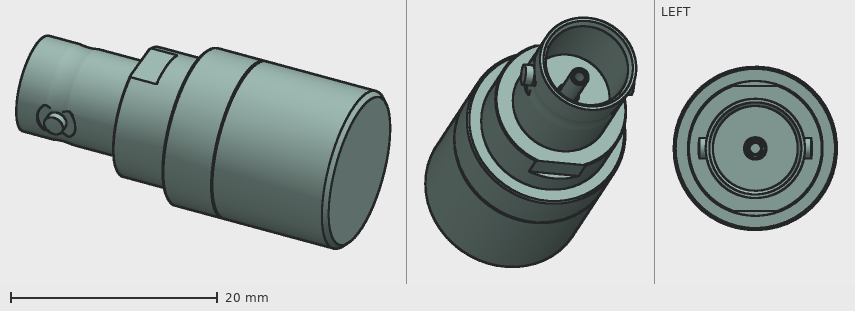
import cadquery as cq

total_length = 34.15

sleeve_radius = 4.8
mouth_radius = 4.45
bore_radius = 4.1
mouth_chamfer_length = 0.5
bore_depth = 8.0

pin_x = 4.22
ring_groove_width = 2.16
ring_groove_depth = 0.1
pin_flat_radius = 2.03
pin_flat_height = 4.55
pin_radius = 1.0
pin_tip_height = 5.5
pin_dome_rise = 0.1

collar_start = 10.95
collar_radius = 6.52
collar_chamfer = 0.1
wrench_flat_height = 6.03
wrench_flat_length = 2.85

body_start = 16.72
body_radius = 7.9
front_chamfer = 0.2
rear_chamfer = 0.5
joint_x = 22.0
joint_width = 0.1
joint_depth = 0.1

contact_start = 3.4
contact_radius = 0.88
contact_hole_radius = 0.55
contact_hole_depth = 4.0
contact_countersink = 0.11
clearance_radius = 1.08
clearance_depth = 0.5


def revolve_x(profile):
    """Turn a closed XY profile about the X axis."""
    return profile.close().revolve(360, (0, 0, 0), (1, 0, 0))


def cylinder_x(start, length, radius):
    return cq.Workplane("YZ", origin=(start, 0, 0)).circle(radius).extrude(length)


def make_shell():
    groove_start = pin_x - ring_groove_width / 2
    groove_end = pin_x + ring_groove_width / 2
    joint_start = joint_x - joint_width / 2
    joint_end = joint_x + joint_width / 2
    joint_radius = body_radius - joint_depth
    profile = (
        cq.Workplane("XY")
        .moveTo(0, 0)
        .lineTo(0, sleeve_radius)
        .lineTo(groove_start, sleeve_radius)
        .threePointArc((pin_x, sleeve_radius - ring_groove_depth), (groove_end, sleeve_radius))
        .lineTo(collar_start, sleeve_radius)
        .lineTo(collar_start, collar_radius - collar_chamfer)
        .lineTo(collar_start + collar_chamfer, collar_radius)
        .lineTo(body_start, collar_radius)
        .lineTo(body_start, body_radius - front_chamfer)
        .lineTo(body_start + front_chamfer, body_radius)
        .lineTo(joint_start, body_radius)
        .lineTo(joint_start, joint_radius)
        .lineTo(joint_end, joint_radius)
        .lineTo(joint_end, body_radius)
        .lineTo(total_length - rear_chamfer, body_radius)
        .lineTo(total_length, body_radius - rear_chamfer)
        .lineTo(total_length, 0)
    )
    return revolve_x(profile)


def make_bore():
    """Socket bore with a chamfered mouth and a flat floor."""
    profile = (
        cq.Workplane("XY")
        .moveTo(0, 0)
        .lineTo(0, mouth_radius)
        .lineTo(mouth_chamfer_length, bore_radius)
        .lineTo(bore_depth, bore_radius)
        .lineTo(bore_depth, 0)
    )
    return revolve_x(profile)


def make_clearance():
    """Recess in the bore floor that leaves a thin gap around the contact."""
    return cylinder_x(bore_depth, clearance_depth, clearance_radius)


def make_contact():
    """Contact rising through the clearance ring, with a countersunk blind hole."""
    contact_length = bore_depth + clearance_depth - contact_start
    contact = cylinder_x(contact_start, contact_length, contact_radius)
    contact = contact.cut(cylinder_x(contact_start, contact_hole_depth, contact_hole_radius))
    hole_rim = contact.faces("<X").edges(cq.selectors.RadiusNthSelector(0))
    return hole_rim.chamfer(contact_countersink)


def make_wrench_flat(side):
    cut_height = collar_radius - wrench_flat_height
    return cq.Workplane("XY").box(
        wrench_flat_length, 2 * collar_radius, cut_height, centered=(False, True, True)
    ).translate((collar_start, 0, side * (wrench_flat_height + cut_height / 2)))


def radial_cylinder(radius, inner, outer, side):
    """Cylinder along Y at the pin position, on the +Y or -Y side."""
    base = cq.Workplane("XZ", origin=(pin_x, side * inner, 0))
    return base.circle(radius).extrude(-side * (outer - inner))


def make_pin(side):
    """Bayonet pin with a slightly domed tip."""
    dome_radius = (pin_radius**2 + pin_dome_rise**2) / (2 * pin_dome_rise)
    pin_root = (bore_radius + pin_flat_height) / 2
    profile = (
        cq.Workplane("XY")
        .moveTo(0, pin_root)
        .lineTo(pin_radius, pin_root)
        .lineTo(pin_radius, pin_tip_height - pin_dome_rise)
        .radiusArc((0, pin_tip_height), -dome_radius)
    )
    pin = profile.close().revolve(360, (0, 0, 0), (0, 1, 0))
    if side < 0:
        pin = pin.mirror("XZ")
    return pin.translate((pin_x, 0, 0))


result = make_shell().cut(make_bore()).cut(make_clearance()).union(make_contact())
for side in (1, -1):
    result = result.cut(make_wrench_flat(side))
    result = result.cut(radial_cylinder(pin_flat_radius, pin_flat_height, sleeve_radius, side))
    result = result.union(make_pin(side))